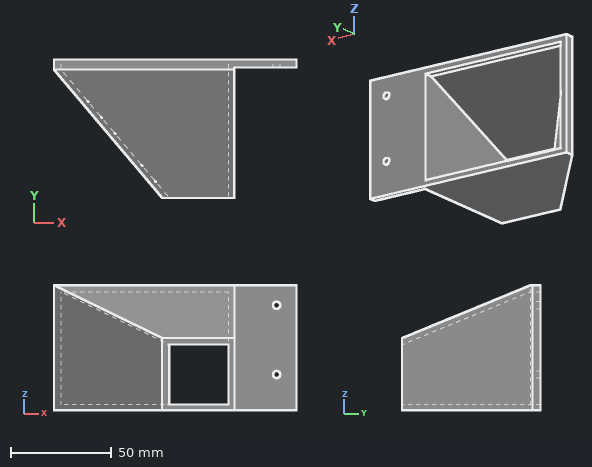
import cadquery as cq

length = 121.0
depth = 69.0
height = 62.34

mouth_width = 90.0
nozzle_size = 36.0
collar_depth = 5.0
wall = 3.0
left_wall = 3.6
top_wall = 3.3

flange_thickness = 4.0
hole_diameter = 3.5
hole_edge_distance = 10.0
hole_spacing = 34.5

taper_start_y = -collar_depth
nozzle_y = -depth


def duct_body(left, right, bottom, top):
    """Straight collar and tapered nozzle, inset by the given wall on each side."""
    x_right = mouth_width - right
    mouth_x = left
    nozzle_x = mouth_width - nozzle_size + left
    mouth_top = height - top
    nozzle_top = nozzle_size - top

    def section(workplane, x_left, z_top):
        return workplane.polyline(
            [(x_left, bottom), (x_right, bottom), (x_right, z_top), (x_left, z_top)]
        ).close()

    collar = section(cq.Workplane("XZ"), mouth_x, mouth_top).extrude(collar_depth)
    taper_start = section(cq.Workplane("XZ", origin=(0, taper_start_y, 0)), mouth_x, mouth_top)
    nozzle_plane = taper_start.workplane(offset=taper_start_y - nozzle_y)
    taper = section(nozzle_plane, nozzle_x, nozzle_top).loft(ruled=True, combine=True)
    return collar.union(taper)


def mounting_flange():
    """Flat plate beside the mouth, with two screw holes near its free end."""
    plate = cq.Workplane("XY").box(
        length - mouth_width + wall, flange_thickness, height, centered=False
    ).translate((mouth_width - wall, -flange_thickness, 0))
    hole_x = length - hole_edge_distance
    upper_hole_z = height - hole_edge_distance
    lower_hole_z = upper_hole_z - hole_spacing
    holes = (
        cq.Workplane("XZ")
        .pushPoints([(hole_x, upper_hole_z), (hole_x, lower_hole_z)])
        .circle(hole_diameter / 2)
        .extrude(flange_thickness)
    )
    return plate.cut(holes)


outer_duct = duct_body(left=0, right=0, bottom=0, top=0)
cavity = duct_body(left=left_wall, right=wall, bottom=wall, top=top_wall)

result = outer_duct.cut(cavity).union(mounting_flange())